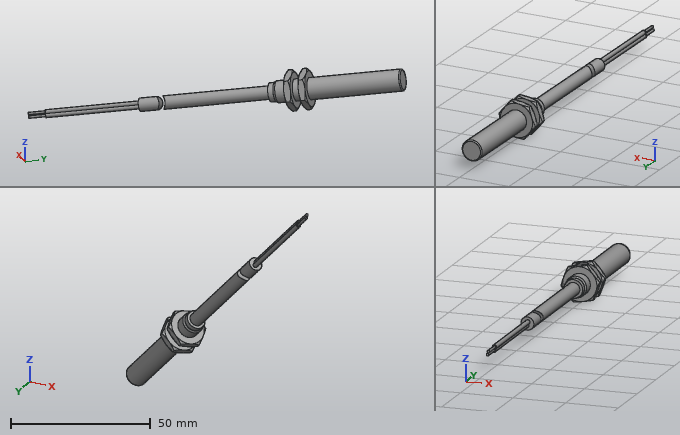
import cadquery as cq
import math

OVERALL_LENGTH = 141.0

HOUSING_DIAMETER = 8.0
FRONT_CHAMFER = 0.4
HOUSING_END = 48.0
REAR_CHAMFER_LENGTH = 0.8
REAR_CHAMFER_DEPTH = 0.4

PLUG_DIAMETER = 7.0
PLUG_END = 49.9

NUT_ACROSS_FLATS = 13.0
NUT_THICKNESS = 2.5
NUT_STATIONS = (35.0, 40.5)
NUT_ROLL = -10.0
NUT_CHAMFER_ANGLE = 30.0

CABLE_DIAMETER = 5.0
CABLE_ROLL = 15.0
CABLE_END = 90.2
BREAK_GAP = 2.3
BREAK_SAG = 1.3
SHEATH_END = 99.0
INSULATION_END = 134.5
LEAD_DIAMETER = 1.7
LEAD_SPACING = 1.3
CONDUCTOR_DIAMETER = 1.0

CABLE_RADIUS = CABLE_DIAMETER / 2


def rod(diameter, start, end, height=0.0):
    """Round bar along Y between two stations, its axis raised by height."""
    return (
        cq.Workplane("XZ", origin=(0, -start, 0))
        .center(0, height)
        .circle(diameter / 2)
        .extrude(end - start)
    )


def roll(body, angle):
    """Turn a body about the sensor axis; positive angles tip the top toward +X."""
    return body.rotate((0, 0, 0), (0, 1, 0), angle)


def make_housing():
    radius = HOUSING_DIAMETER / 2
    profile = [
        (0, 0),
        (radius - FRONT_CHAMFER, 0),
        (radius, -FRONT_CHAMFER),
        (radius, REAR_CHAMFER_LENGTH - HOUSING_END),
        (radius - REAR_CHAMFER_DEPTH, -HOUSING_END),
        (0, -HOUSING_END),
    ]
    return cq.Workplane("XY").polyline(profile).close().revolve(360, (0, 0), (0, 1))


def make_plug():
    """Ring behind the housing with the cable passing through it."""
    bore = rod(CABLE_DIAMETER, HOUSING_END, PLUG_END)
    return rod(PLUG_DIAMETER, HOUSING_END, PLUG_END).cut(bore)


def make_nut(station):
    corner_diameter = NUT_ACROSS_FLATS / math.cos(math.radians(30))
    corner_radius = corner_diameter / 2
    face_radius = NUT_ACROSS_FLATS / 2
    chamfer = (corner_radius - face_radius) * math.tan(math.radians(NUT_CHAMFER_ANGLE))
    hexagon = (
        cq.Workplane("XZ", origin=(0, -station, 0))
        .polygon(6, corner_diameter)
        .extrude(NUT_THICKNESS)
    )
    front = -station
    back = front - NUT_THICKNESS
    envelope = (
        cq.Workplane("XY")
        .polyline([
            (0, front),
            (face_radius, front),
            (corner_radius, front - chamfer),
            (corner_radius, back + chamfer),
            (face_radius, back),
            (0, back),
        ])
        .close()
        .revolve(360, (0, 0), (0, 1))
    )
    bore = rod(HOUSING_DIAMETER, station, station + NUT_THICKNESS)
    return roll(hexagon.intersect(envelope).cut(bore), NUT_ROLL)


def behind_break(rim_station):
    """Block on the -Y side of a break arc bulging toward +Y from its rim station."""
    return (
        cq.Workplane("YZ")
        .moveTo(-rim_station, -CABLE_RADIUS)
        .threePointArc((BREAK_SAG - rim_station, 0), (-rim_station, CABLE_RADIUS))
        .lineTo(-OVERALL_LENGTH, CABLE_RADIUS)
        .lineTo(-OVERALL_LENGTH, -CABLE_RADIUS)
        .close()
        .extrude(CABLE_RADIUS, both=True)
    )


def make_cable():
    """Cable from the housing through the plug to the concave side of the break."""
    cable = rod(CABLE_DIAMETER, HOUSING_END, CABLE_END).cut(behind_break(CABLE_END))
    return roll(cable, CABLE_ROLL)


def make_cable_tail():
    """Sheath beyond the break with two joined leads and their bare conductors."""
    rim_station = CABLE_END + BREAK_GAP
    tail = rod(CABLE_DIAMETER, CABLE_END, SHEATH_END).intersect(behind_break(rim_station))
    for side in (-1, 1):
        height = side * LEAD_SPACING / 2
        tail = tail.union(rod(LEAD_DIAMETER, SHEATH_END, INSULATION_END, height))
        tail = tail.union(rod(CONDUCTOR_DIAMETER, INSULATION_END, OVERALL_LENGTH, height))
    return roll(tail, CABLE_ROLL)


housing = make_housing()
plug = make_plug()
nuts = [make_nut(station) for station in NUT_STATIONS]
cable = make_cable()
cable_tail = make_cable_tail()

result = cq.Compound.makeCompound([
    housing.val(),
    plug.val(),
    *[nut.val() for nut in nuts],
    cable.val(),
    cable_tail.val(),
])